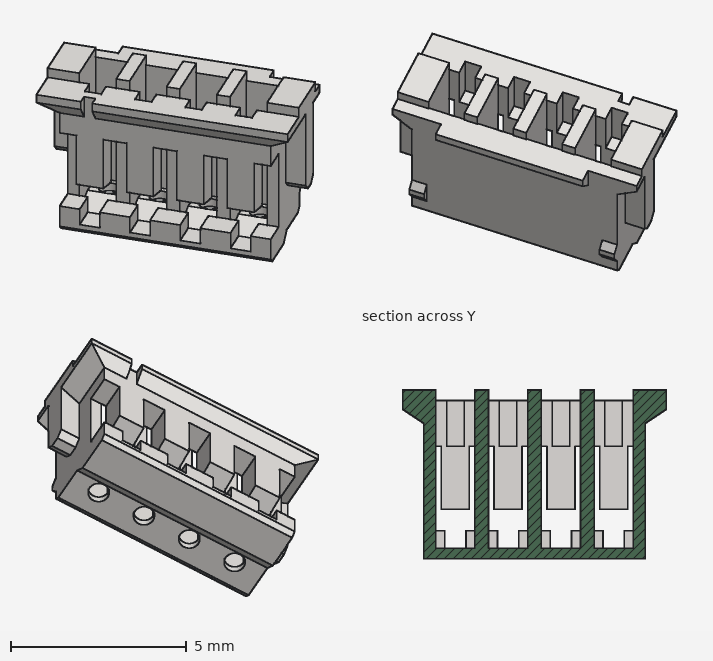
import cadquery as cq


contact_count = 4
pitch = 1.5
row_centers = [(i - (contact_count - 1) / 2) * pitch for i in range(contact_count)]

overall_width = 7.5
body_width = 6.3
body_depth = 2.7
foot_height = 0.3
foot_step_start = 1.215
foot_step_end = foot_step_start + foot_height
edge_chamfer = 0.14

total_height = 4.8
flange_top = 4.5
flange_thickness = 0.255
bevel_height = 0.4
flange_edge = flange_top - flange_thickness
flange_root = flange_edge - bevel_height
front_overhang = 0.3
back_overhang = bevel_height
back_flange_width = 4.515
key_width = 0.34
key_x = row_centers[0]

cavity_width = 1.1
front_wall = 0.75
cavity_back = 2.28
divider_back = 2.3
floor_height = 0.555
ramp_end = 1.53
hole_diameter = 0.6

lip_top = 0.8
window_top = 3.195
tongue_width = 0.8
tongue_front_bottom = 1.6
tongue_back_bottom = 1.4
notch_width = 0.6
slot_width = 0.495
slot_depth = 0.45
slot_bottom = window_top

rail_front = 1.395
rail_back = 2.1
rail_bottom = 1.7
rail_chamfer = 0.2

bump_width = 0.46
bump_x = (body_width - bump_width) / 2
bump_reach = 0.2
bump_bottom = 0.855
bump_face_bottom = 1.19
bump_face_top = 1.395
bump_top = bump_face_top + bump_reach


def block(x_center, width, y_min, y_max, z_min, z_max):
    """Box centered on x_center."""
    box = cq.Workplane("XY").box(width, y_max - y_min, z_max - z_min, centered=(True, False, False))
    return box.translate((x_center, y_min, z_min))


def profile(x_center, width, points):
    """Extrude a (Y, Z) outline along X, centered on x_center."""
    solid = cq.Workplane("YZ").polyline(points).close().extrude(width / 2, both=True)
    return solid.translate((x_center, 0, 0))


def make_body():
    """Main block with its stepped foot and chamfered lower edges."""
    return profile(0, body_width, [
        (0, edge_chamfer),
        (edge_chamfer, 0),
        (foot_step_start, 0),
        (foot_step_end, foot_height),
        (body_depth - edge_chamfer, foot_height),
        (body_depth, foot_height + edge_chamfer),
        (body_depth, flange_top),
        (0, flange_top),
    ])


def make_flange():
    """Beveled flange on the front and ends, plus the shorter one on the back."""
    flange_depth = body_depth + front_overhang
    bevel = (
        cq.Workplane("XY", origin=(0, body_depth / 2, flange_root))
        .rect(body_width, body_depth)
        .workplane(offset=bevel_height)
        .center(0, -front_overhang / 2)
        .rect(overall_width, flange_depth)
        .loft(ruled=True)
    )
    plate = block(0, overall_width, -front_overhang, body_depth, flange_edge, flange_top)
    back = profile(0, back_flange_width, [
        (body_depth, flange_root),
        (body_depth + back_overhang, flange_edge),
        (body_depth + back_overhang, flange_top),
        (body_depth, flange_top),
    ])
    key = block(key_x, key_width, -front_overhang, 0, flange_root, flange_top)
    return bevel.union(plate).union(back).cut(key)


def make_rails():
    """Full-width bar through the body whose two ends form the chamfered guide rails."""
    return profile(0, overall_width, [
        (rail_front + rail_chamfer, rail_bottom),
        (rail_back - rail_chamfer, rail_bottom),
        (rail_back, rail_bottom + rail_chamfer),
        (rail_back, flange_top),
        (rail_front, flange_top),
        (rail_front, rail_bottom + rail_chamfer),
    ])


def make_bump(x_center):
    """Locking bump on the back face."""
    return profile(x_center, bump_width, [
        (body_depth, bump_bottom),
        (body_depth + bump_reach, bump_face_bottom),
        (body_depth + bump_reach, bump_face_top),
        (body_depth, bump_top),
    ])


def make_cavity(x_center):
    """Open-topped contact cavity: ramped floor, floor hole, blind lance slot and lip notch."""
    cavity = profile(x_center, cavity_width, [
        (front_wall, foot_height),
        (ramp_end, floor_height),
        (cavity_back, floor_height),
        (cavity_back, flange_top),
        (divider_back, flange_top),
        (divider_back, total_height),
        (front_wall, total_height),
    ])
    hole_y = ramp_end + hole_diameter / 2
    hole = (
        cq.Workplane("XY")
        .center(x_center, hole_y)
        .circle(hole_diameter / 2)
        .extrude(floor_height)
    )
    slot = block(x_center, slot_width, front_wall - slot_depth, front_wall, slot_bottom, flange_top)
    notch = block(x_center, notch_width, 0, front_wall, foot_height, lip_top)
    return cavity.union(hole).union(slot).union(notch)


def make_tongue(x_center):
    """Tongue hanging in the front window, with a sloped lower end."""
    return profile(x_center, tongue_width, [
        (0, tongue_front_bottom),
        (front_wall, tongue_back_bottom),
        (front_wall, window_top),
        (0, window_top),
    ])


window = block(0, body_width, 0, front_wall, lip_top, window_top)
for x in row_centers:
    window = window.cut(make_tongue(x))

raised_top = block(0, overall_width, front_wall, divider_back, flange_top, total_height)

result = make_body().union(make_flange()).union(make_rails()).union(raised_top)
for x in (-bump_x, bump_x):
    result = result.union(make_bump(x))
result = result.cut(window)
for x in row_centers:
    result = result.cut(make_cavity(x))